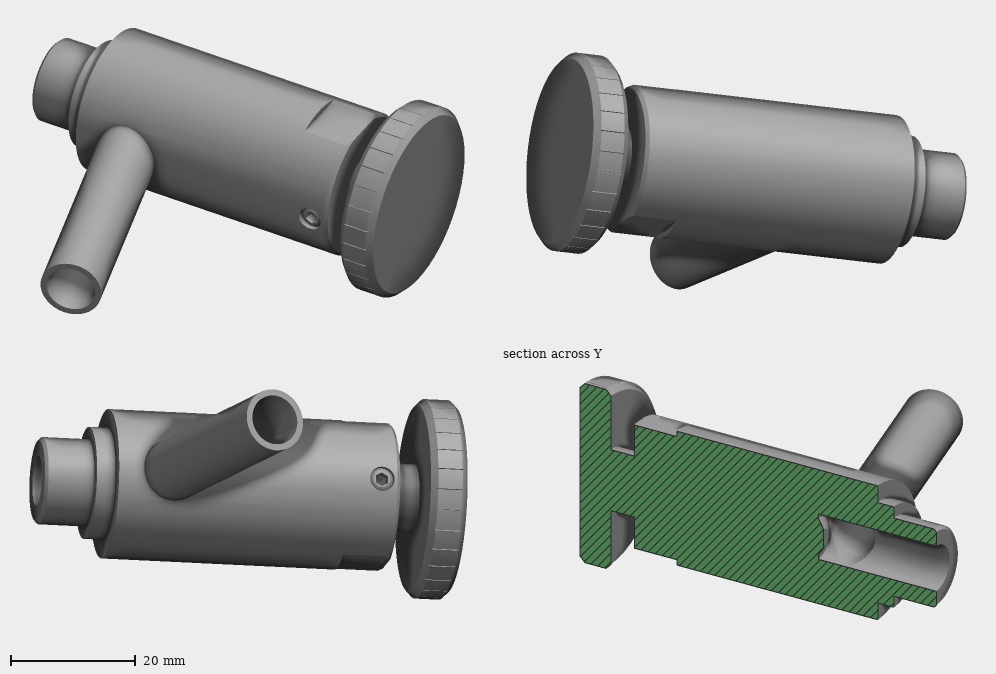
import cadquery as cq
import math

overall_length = 67.3
nose_diameter = 14.0
nose_length = 8.0
nose_chamfer = 0.505
collar_diameter = 18.0
collar_length = 3.0
body_diameter = 24.0
body_length = 46.0
body_chamfer = 0.55
body_start = nose_length + collar_length
body_end = body_start + body_length

flats_width = 22.0
flats_length = 8.0

stem_diameter = 11.0
knob_diameter = 32.0
knob_thickness = 6.0
knob_chamfer = 1.0
knob_start = overall_length - knob_thickness
groove_count = 30
groove_depth = 0.25
groove_width = 0.15
groove_start_angle = 8.0

bore_diameter = 8.0
pin_diameter = 6.5
pin_tip_diameter = 3.0
pin_tip_length = 1.0

tube_diameter = 10.0
tube_bore_diameter = 8.0
tube_tilt = 15.0
tube_axis_x = 17.1
tube_length = 48.3
tube_bore_half_span = tube_bore_diameter / 2 / math.cos(math.radians(tube_tilt))
bore_depth = tube_axis_x + tube_bore_half_span + pin_tip_length

screw_diameter = 4.0
screw_end_diameter = 2.5
screw_cone_height = 0.5
screw_sink = 0.55
screw_from_body_end = 3.0
socket_across_flats = 1.95
socket_depth = 1.5
socket_turn = 30.0
screw_x = body_end - screw_from_body_end


def disc(start, length, diameter):
    """Cylinder along X."""
    return cq.Workplane("YZ", origin=(start, 0, 0)).circle(diameter / 2).extrude(length)


def make_body():
    nose = disc(0, nose_length, nose_diameter).faces("<X").chamfer(nose_chamfer)
    collar = disc(nose_length, collar_length, collar_diameter)
    barrel = disc(body_start, body_length, body_diameter).faces(">X").chamfer(body_chamfer)
    flats_zone = disc(body_end - flats_length, flats_length, 2 * body_diameter)
    between_flats = (
        cq.Workplane("XY")
        .box(2 * flats_length, 2 * body_diameter, flats_width)
        .translate((body_end, 0, 0))
    )
    barrel = barrel.cut(flats_zone.cut(between_flats))
    return nose.union(collar).union(barrel)


def make_knob():
    """Chamfered disc with V grooves spaced around the rim."""
    knob = disc(knob_start, knob_thickness, knob_diameter).faces("<X or >X").chamfer(knob_chamfer)
    rim = knob_diameter / 2
    groove = (
        cq.Workplane("YZ", origin=(knob_start, 0, 0))
        .polyline([
            (rim - groove_depth, 0),
            (rim + groove_depth, groove_width),
            (rim + groove_depth, -groove_width),
        ])
        .close()
        .extrude(knob_thickness)
    )
    for index in range(groove_count):
        angle = groove_start_angle + index * 360 / groove_count
        knob = knob.cut(groove.rotate((0, 0, 0), (1, 0, 0), angle))
    return knob


def tube_cylinder(diameter):
    """Cylinder along the tilted tube axis, from the body axis to the tube mouth."""
    tilt = math.radians(tube_tilt)
    axis = cq.Vector(math.sin(tilt), -math.cos(tilt), 0)
    start = cq.Vector(tube_axis_x, 0, 0)
    return cq.Workplane(cq.Solid.makeCylinder(diameter / 2, tube_length, start, axis))


def make_pin_tip():
    start = cq.Vector(bore_depth, 0, 0)
    towards_nose = cq.Vector(-1, 0, 0)
    return cq.Workplane(
        cq.Solid.makeCone(pin_diameter / 2, pin_tip_diameter / 2, pin_tip_length, start, towards_nose)
    )


def add_set_screw(part):
    """Sink a hole, leave the coned screw end in it and cut its hexagon socket."""
    inward = cq.Vector(0, 1, 0)
    screw_end_y = screw_sink - body_diameter / 2
    hole_depth = screw_sink + screw_cone_height
    hole = cq.Solid.makeCylinder(
        screw_diameter / 2, hole_depth, cq.Vector(screw_x, -body_diameter / 2, 0), inward
    )
    screw_end = cq.Vector(screw_x, screw_end_y, 0)
    cone = cq.Solid.makeCone(
        screw_end_diameter / 2, screw_diameter / 2, screw_cone_height, screw_end, inward
    )
    corner_radius = socket_across_flats / math.sqrt(3)
    socket = (
        cq.Workplane("XZ", origin=(screw_x, screw_end_y, 0))
        .polygon(6, 2 * corner_radius)
        .extrude(-socket_depth)
        .rotate((screw_x, 0, 0), (screw_x, 1, 0), socket_turn)
    )
    drill_radius = socket_across_flats / 2
    drill_point = cq.Solid.makeCone(
        drill_radius, 0, drill_radius / math.sqrt(3), screw_end + inward * socket_depth, inward
    )
    return part.cut(hole).union(cone).cut(socket).cut(drill_point)


stem = disc(body_end, knob_start - body_end, stem_diameter)
part = make_body().union(stem).union(make_knob()).union(tube_cylinder(tube_diameter))
part = part.cut(disc(0, bore_depth, bore_diameter)).cut(tube_cylinder(tube_bore_diameter))
part = part.union(make_pin_tip())
result = add_set_screw(part)